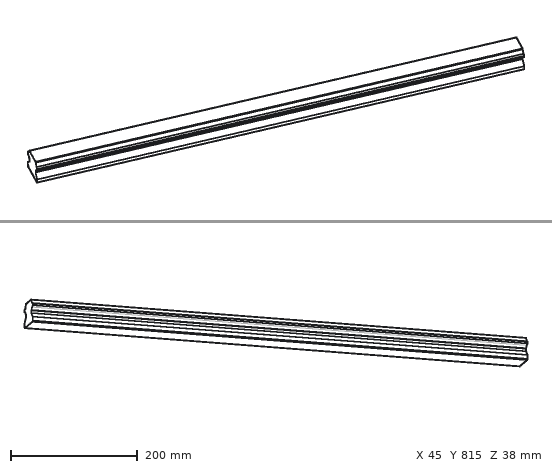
import math

import cadquery as cq

WIDTH = 45.0
HEIGHT = 38.0
LENGTH = 815.0
HALF_WIDTH = WIDTH / 2

BOTTOM_CHAMFER = 1.65
FLANK_TOP_Z = 8.0
WAIST_HALF_WIDTH = 14.3
WAIST_BOTTOM_Z = 16.0
WAIST_TOP_Z = 20.1

NECK_HALF_WIDTH = 15.9
NECK_Z = 20.5
LIP_ROOT_HALF_WIDTH = 19.2
LIP_ROOT_BOTTOM_Z = 24.8
LIP_BOTTOM_Z = 26.6
LIP_TOP_Z = 29.5
LIP_ROOT_TOP_Z = 31.1
SHOULDER_HALF_WIDTH = 15.5
SHOULDER_Z = 37.2
TOP_HALF_WIDTH = 14.2
GROOVE_DEPTH = 0.5


def groove_midpoint(start, end):
    """Deepest point of a groove, to the left of the chord from start to end."""
    dx = end[0] - start[0]
    dz = end[1] - start[1]
    chord = math.hypot(dx, dz)
    middle_x = (start[0] + end[0]) / 2
    middle_z = (start[1] + end[1]) / 2
    return (middle_x - GROOVE_DEPTH * dz / chord, middle_z + GROOVE_DEPTH * dx / chord)


def half_rail():
    """The +X half of the rail, extruded over its whole length."""
    neck = (NECK_HALF_WIDTH, NECK_Z)
    lip_root_bottom = (LIP_ROOT_HALF_WIDTH, LIP_ROOT_BOTTOM_Z)
    lip_root_top = (LIP_ROOT_HALF_WIDTH, LIP_ROOT_TOP_Z)
    shoulder = (SHOULDER_HALF_WIDTH, SHOULDER_Z)
    outline = (
        cq.Workplane("XZ", origin=(0, LENGTH / 2, 0))
        .moveTo(0, 0)
        .lineTo(HALF_WIDTH - BOTTOM_CHAMFER, 0)
        .lineTo(HALF_WIDTH, BOTTOM_CHAMFER)
        .lineTo(HALF_WIDTH, FLANK_TOP_Z)
        .lineTo(WAIST_HALF_WIDTH, WAIST_BOTTOM_Z)
        .lineTo(WAIST_HALF_WIDTH, WAIST_TOP_Z)
        .lineTo(*neck)
        .threePointArc(groove_midpoint(neck, lip_root_bottom), lip_root_bottom)
        .lineTo(HALF_WIDTH, LIP_BOTTOM_Z)
        .lineTo(HALF_WIDTH, LIP_TOP_Z)
        .lineTo(*lip_root_top)
        .threePointArc(groove_midpoint(lip_root_top, shoulder), shoulder)
        .lineTo(TOP_HALF_WIDTH, HEIGHT)
        .lineTo(0, HEIGHT)
        .close()
    )
    return outline.extrude(LENGTH)


right_half = half_rail()
result = right_half.union(right_half.mirror("YZ")).clean()